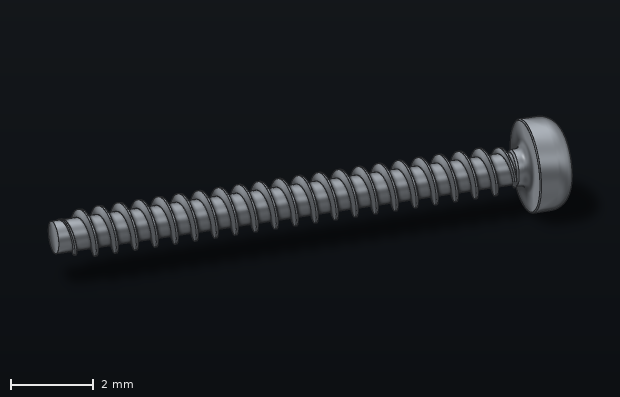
import cadquery as cq
import math


head_radius = 2.3 / 2
head_height = 0.95
head_round = 0.48
head_edge_chamfer = 0.03

shank_length = 12.0
core_radius = 0.40
neck_radius = 0.45
neck_length = 0.30
neck_step_length = 0.05
neck_fillet = 0.20

thread_radius = 0.60
thread_pitch = 0.509
thread_turns = 23
thread_end_gap = 0.13
crest_half_width = 0.025
flank_angle = 19.0
bury_depth = 0.03
buried_radius = core_radius - bury_depth
run_turns = 1.25
head_end_sink = 0.02
tip_end_sink = 0.01
head_end_crest_radius = neck_radius - head_end_sink
tip_end_crest_radius = core_radius - tip_end_sink
steps_per_span = 24

arc_middle = math.sqrt(0.5)


def screw_body():
    """Head, neck and core as one solid of revolution."""
    round_middle = head_round * arc_middle
    fillet_middle = neck_fillet * (1 - arc_middle)
    profile = (
        cq.Workplane("XY")
        .moveTo(0, head_height)
        .lineTo(head_radius - head_round, head_height)
        .threePointArc(
            (head_radius - head_round + round_middle, head_height - head_round + round_middle),
            (head_radius, head_height - head_round),
        )
        .lineTo(head_radius, head_edge_chamfer)
        .lineTo(head_radius - head_edge_chamfer, 0)
        .lineTo(neck_radius + neck_fillet, 0)
        .threePointArc(
            (neck_radius + fillet_middle, -fillet_middle),
            (neck_radius, -neck_fillet),
        )
        .lineTo(neck_radius, -neck_length)
        .lineTo(core_radius, -neck_length - neck_step_length)
        .lineTo(core_radius, -shank_length)
        .lineTo(0, -shank_length)
        .close()
    )
    return profile.revolve(360, (0, 0, 0), (0, 1, 0)).val()


def crest_radius(turn):
    """Crest radius after a number of turns, reduced along the run at each end."""
    head_share = min(1, turn / run_turns)
    tip_share = min(1, (thread_turns - turn) / run_turns)
    at_head = head_end_crest_radius + (thread_radius - head_end_crest_radius) * head_share
    at_tip = tip_end_crest_radius + (thread_radius - tip_end_crest_radius) * tip_share
    return min(at_head, at_tip)


def root_half_width(turn):
    """Half the width of the thread at the buried radius."""
    height = crest_radius(turn) - buried_radius
    return crest_half_width + height * math.tan(math.radians(flank_angle))


def thread_point(turn, radius, offset):
    """Point on a right-handed helix that starts at -X, shifted along Y by offset."""
    angle = math.pi + 2 * math.pi * turn
    first_y = -shank_length + thread_end_gap + thread_turns * thread_pitch
    y = first_y - turn * thread_pitch + offset
    return cq.Vector(radius * math.cos(angle), y, radius * math.sin(angle))


def thread_edge(at_crest, side, start_turn, end_turn):
    """Curve along one corner of the thread section; side is +1 (head) or -1 (tip)."""
    points = []
    for step in range(steps_per_span + 1):
        turn = start_turn + (end_turn - start_turn) * step / steps_per_span
        radius = crest_radius(turn) if at_crest else buried_radius
        half_width = crest_half_width if at_crest else root_half_width(turn)
        points.append(thread_point(turn, radius, side * half_width))
    return cq.Edge.makeSpline(points)


def span_edges(start_turn, end_turn):
    """The four corner curves of one span of thread, in order around the section."""
    corners = [(False, 1), (True, 1), (True, -1), (False, -1)]
    return [thread_edge(at_crest, side, start_turn, end_turn) for at_crest, side in corners]


def end_cap(edges, position):
    """Flat face across the thread section at one end of a span (position 0 or 1)."""
    corners = [edge.positionAt(position) for edge in edges]
    return cq.Face.makeFromWires(cq.Wire.makePolygon(corners, close=True))


def thread():
    """Solid thread: a run-in span, full-height spans of about one turn, and a run-out span."""
    full_turns = thread_turns - 2 * run_turns
    full_spans = math.floor(full_turns)
    breaks = [run_turns + full_turns * index / full_spans for index in range(full_spans + 1)]
    breaks = [0] + breaks + [thread_turns]
    spans = [span_edges(start, end) for start, end in zip(breaks, breaks[1:])]

    faces = [end_cap(spans[0], 0), end_cap(spans[-1], 1)]
    for edges in spans:
        for index, edge in enumerate(edges):
            faces.append(cq.Face.makeRuledSurface(edges[index - 1], edge))
    return cq.Solid.makeSolid(cq.Shell.makeShell(faces))


screw = screw_body().fuse(thread())
result = cq.Workplane("XY").newObject(screw.Solids())